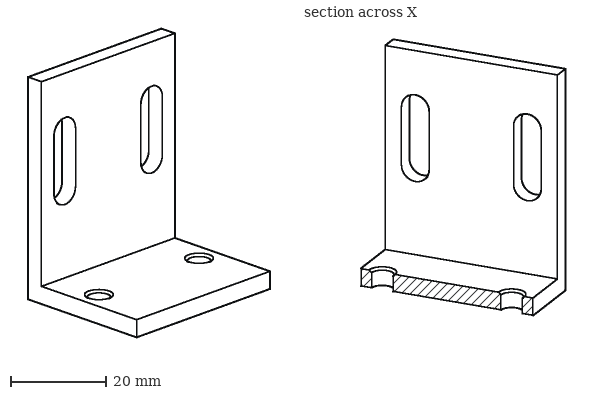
import cadquery as cq

base_length = 32.0
width = 40.0
height = 50.0
thickness = 4.0

slot_width = 6.4
slot_length = 19.5
slot_spacing = 26.0
slot_center_height = 30.25

hole_diameter = 4.9
hole_spacing = 30.0
chamfer_diameter = 6.0
hole_chamfer = (chamfer_diameter - hole_diameter) / 2
hole_x = base_length / 2


def angle_body():
    """L-shaped profile extruded along Y, centred on the XZ plane."""
    return (
        cq.Workplane("XZ")
        .polyline([
            (0, 0),
            (base_length, 0),
            (base_length, thickness),
            (thickness, thickness),
            (thickness, height),
            (0, height),
        ])
        .close()
        .extrude(width / 2, both=True)
    )


def slot_cutter(y):
    """Upright round-ended slot through the vertical leg."""
    return (
        cq.Workplane("YZ")
        .center(y, slot_center_height)
        .slot2D(slot_length, slot_width, angle=90)
        .extrude(thickness)
    )


def hole_cutter(y):
    """Through hole with a 45 degree chamfer at the inner face of the base."""
    radius = hole_diameter / 2
    return (
        cq.Workplane("XY")
        .center(hole_x, y)
        .circle(radius)
        .extrude(thickness)
        .union(
            cq.Workplane("XY", origin=(hole_x, y, thickness))
            .circle(chamfer_diameter / 2)
            .workplane(offset=-hole_chamfer)
            .circle(radius)
            .loft()
        )
    )


result = angle_body()
for side in (-1, 1):
    result = result.cut(slot_cutter(side * slot_spacing / 2))
    result = result.cut(hole_cutter(side * hole_spacing / 2))